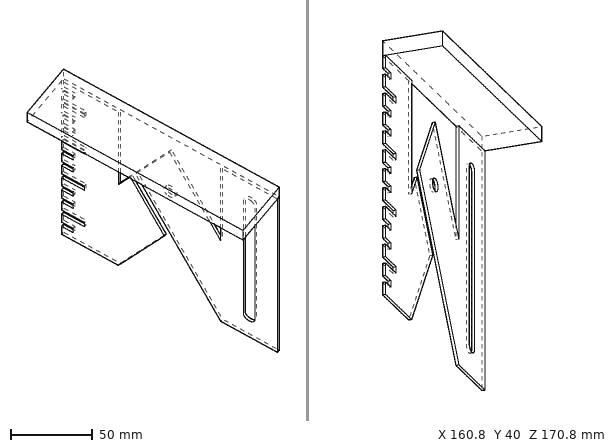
import cadquery as cq

SIDE = 160.8
BAR_HEIGHT = 10.0
BAR_DEPTH = 40.0
PLATE_THICKNESS = 2.0
GRID = SIDE / 19
GAP = 7.7
RUN_PER_RISE = 3 / 5

LEG_WIDTH = 5 * GRID
CROTCH_HEIGHT = 10 * GRID
LEFT_INNER_X = LEG_WIDTH
RIGHT_INNER_X = SIDE - LEG_WIDTH
MIDDLE_X = SIDE / 2
UPPER_EDGE_BASE = LEFT_INNER_X - RUN_PER_RISE * CROTCH_HEIGHT

NOTCH_COUNT = 12
NOTCH_HEIGHT = GRID / 2
NOTCH_PITCH = 1.5 * GRID
FIRST_NOTCH_Z = GRID
SHORT_NOTCH = GRID
LONG_NOTCH = 2 * GRID
LONG_NOTCH_INTERVAL = 3
FIRST_LONG_NOTCH = 1

HOLE_DIAMETER = GRID
HOLE_HEIGHT = 12.5 * GRID
SLOT_WIDTH = GRID
SLOT_BOTTOM = 2 * GRID
SLOT_TOP = 17 * GRID
SLOT_X = SIDE - LEG_WIDTH / 2


def meeting_point(rising_base, falling_base):
    """Point where a rising and a falling slanted edge meet, given where each reaches Z = 0."""
    x = (rising_base + falling_base) / 2
    z = (falling_base - rising_base) / (2 * RUN_PER_RISE)
    return x, z


def plate(points):
    """Flat plate with its back face on Y = 0."""
    return cq.Workplane("XZ").polyline(points).close().extrude(PLATE_THICKNESS)


def make_bar():
    """Bar resting on the plates, flush with their back faces."""
    return cq.Workplane("XY").box(SIDE, BAR_DEPTH, BAR_HEIGHT, centered=False).translate(
        (0, -BAR_DEPTH, SIDE)
    )


def make_left_plate():
    """Notched plate whose barb faces the right plate across the gap."""
    gap_edge_base = RIGHT_INNER_X - GAP
    body = plate([
        (0, 0),
        (LEFT_INNER_X, 0),
        meeting_point(LEFT_INNER_X, gap_edge_base),
        meeting_point(UPPER_EDGE_BASE, gap_edge_base),
        (LEFT_INNER_X, CROTCH_HEIGHT),
        (LEFT_INNER_X, SIDE),
        (0, SIDE),
    ])
    for index in range(NOTCH_COUNT):
        is_long = index % LONG_NOTCH_INTERVAL == FIRST_LONG_NOTCH
        depth = LONG_NOTCH if is_long else SHORT_NOTCH
        notch = cq.Workplane("XY").box(depth, PLATE_THICKNESS, NOTCH_HEIGHT, centered=False)
        notch_z = FIRST_NOTCH_Z + index * NOTCH_PITCH
        body = body.cut(notch.translate((0, -PLATE_THICKNESS, notch_z)))
    return body


def make_right_plate():
    """Plate with a pointed arm, a round hole in the arm and a long slot in the leg."""
    upper_right_edge_base = RIGHT_INNER_X + RUN_PER_RISE * CROTCH_HEIGHT
    body = plate([
        (RIGHT_INNER_X, 0),
        (SIDE, 0),
        (SIDE, SIDE),
        (RIGHT_INNER_X, SIDE),
        (RIGHT_INNER_X, CROTCH_HEIGHT),
        meeting_point(UPPER_EDGE_BASE, upper_right_edge_base),
        meeting_point(UPPER_EDGE_BASE, RIGHT_INNER_X),
    ])
    hole = (
        cq.Workplane("XZ")
        .center(MIDDLE_X, HOLE_HEIGHT)
        .circle(HOLE_DIAMETER / 2)
        .extrude(PLATE_THICKNESS)
    )
    slot = (
        cq.Workplane("XZ")
        .center(SLOT_X, (SLOT_BOTTOM + SLOT_TOP) / 2)
        .slot2D(SLOT_TOP - SLOT_BOTTOM, SLOT_WIDTH, 90)
        .extrude(PLATE_THICKNESS)
    )
    return body.cut(hole).cut(slot)


bar = make_bar()
left_plate = make_left_plate()
right_plate = make_right_plate()

result = cq.Compound.makeCompound([bar.val(), left_plate.val(), right_plate.val()])